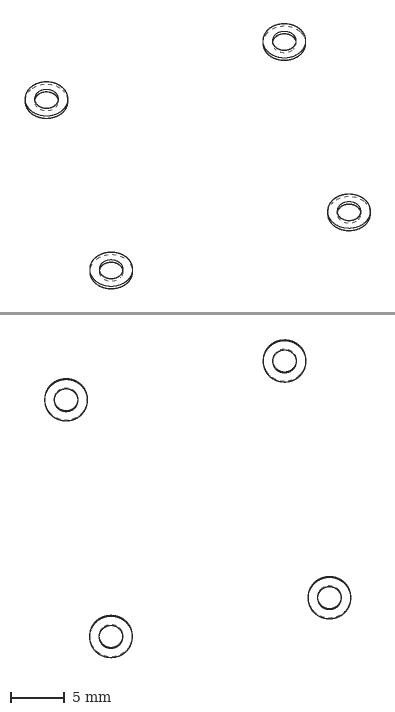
import cadquery as cq

overall_x = 24.75
overall_y = 27.23

outer_diameter = 4.0
hole_diameter = 2.2
thickness = 0.4

spacing_x = overall_x - outer_diameter
spacing_y = overall_y - outer_diameter


def make_washer(center_x, center_y):
    """Flat washer standing on the XY plane, centred on the given point."""
    return (
        cq.Workplane("XY")
        .center(center_x, center_y)
        .circle(outer_diameter / 2)
        .circle(hole_diameter / 2)
        .extrude(thickness)
    )


washers = [
    make_washer(side_x * spacing_x / 2, side_y * spacing_y / 2)
    for side_x in (-1, 1)
    for side_y in (-1, 1)
]

result = cq.Compound.makeCompound([washer.val() for washer in washers])